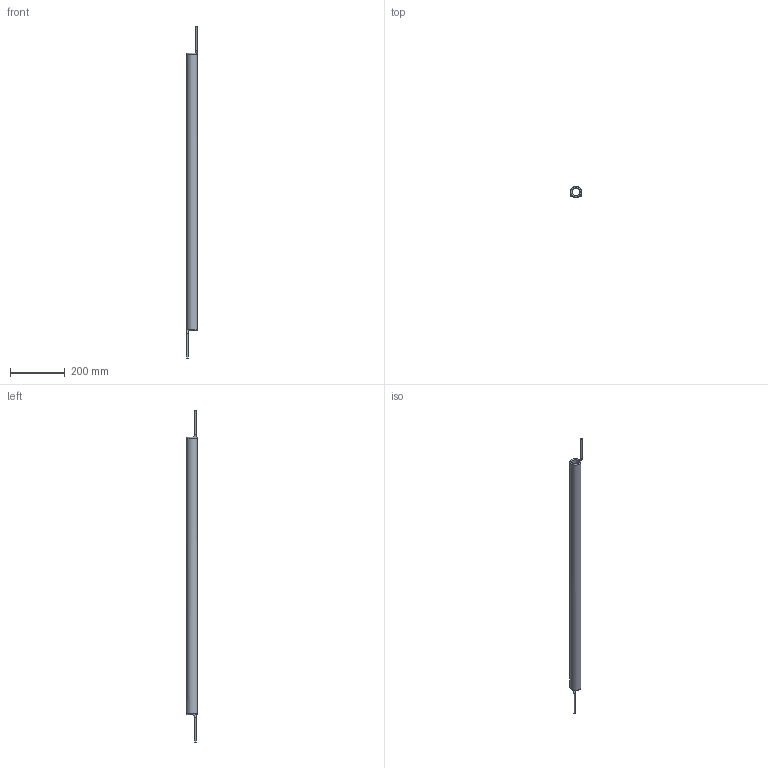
import cadquery as cq

OUTER_DIAMETER = 40.0
BORE_DIAMETER = 28.0
OVERALL_HEIGHT = 1214.0
LEAD_PROJECTION = 100.0

LEAD_CLEARANCE = 0.01
BEND_RADIUS = 13.0

WALL = (OUTER_DIAMETER - BORE_DIAMETER) / 2
RIM_RADIUS = WALL / 2
LEAD_RADIUS = RIM_RADIUS - LEAD_CLEARANCE
WALL_CENTRE_RADIUS = BORE_DIAMETER / 2 + RIM_RADIUS
TIP_Z = OVERALL_HEIGHT / 2
RIM_CENTRE_Z = TIP_Z - LEAD_PROJECTION - RIM_RADIUS


def make_tube():
    """Revolve the wall section, a straight slot with half-round ends, about Z."""
    return (
        cq.Workplane("XZ")
        .center(WALL_CENTRE_RADIUS, 0)
        .slot2D(2 * (RIM_CENTRE_Z + RIM_RADIUS), WALL, 90)
        .revolve(360, (-WALL_CENTRE_RADIUS, 0, 0), (-WALL_CENTRE_RADIUS, 1, 0))
    )


def make_top_lead():
    """Rod that starts inside the rim at +X, heads toward -Y and bends up to +Z."""
    bend_end_z = RIM_CENTRE_Z + BEND_RADIUS
    bend = (
        cq.Workplane("XZ", origin=(WALL_CENTRE_RADIUS, 0, RIM_CENTRE_Z))
        .circle(LEAD_RADIUS)
        .revolve(90, (1, BEND_RADIUS, 0), (-1, BEND_RADIUS, 0))
    )
    rod = (
        cq.Workplane("XY", origin=(WALL_CENTRE_RADIUS, -BEND_RADIUS, bend_end_z))
        .circle(LEAD_RADIUS)
        .extrude(TIP_Z - bend_end_z)
    )
    return bend.union(rod)


top_lead = make_top_lead()
bottom_lead = top_lead.rotate((0, 0, 0), (0, 1, 0), 180)

result = make_tube().union(top_lead).union(bottom_lead)